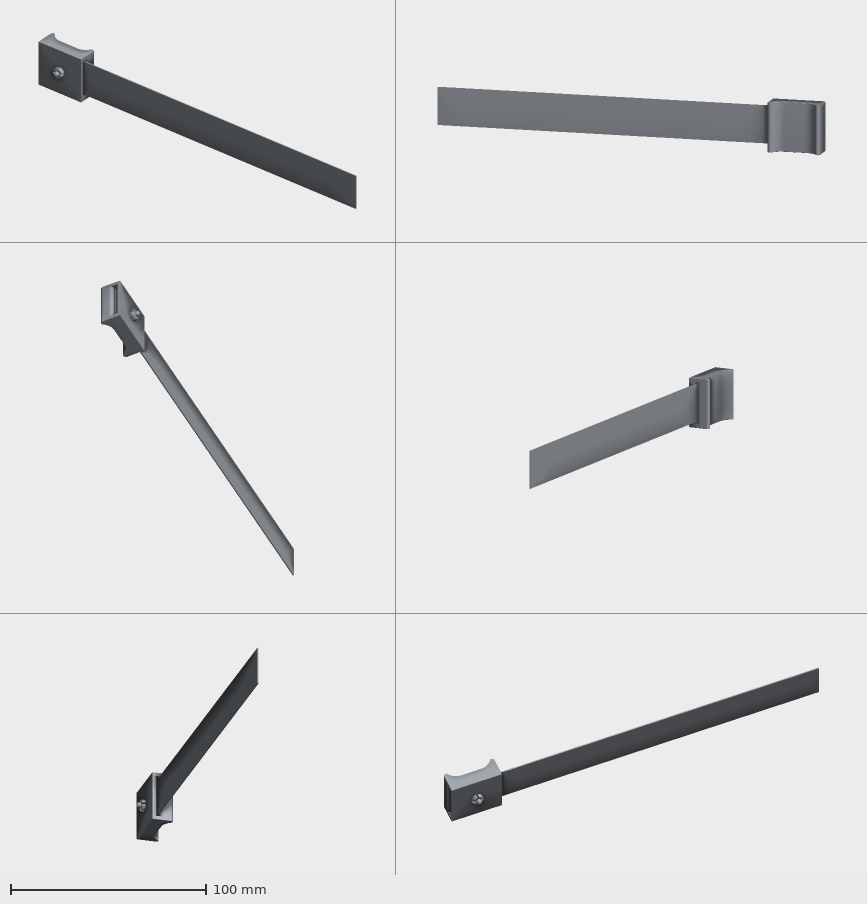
import cadquery as cq
import math

block_length = 27.9
block_height = 26.0
block_depth = 11.3
saddle_floor = 7.4
saddle_flat = 11.5
saddle_radius = 7.0
horn_outer_fillet = 1.2
horn_inner_fillet = 0.6
end_chamfer = 0.1

overall_length = 205.0
strap_height = 19.9
strap_thickness = 0.6
strap_start = 1.6
strap_center_y = 3.5

slot_height = 22.1
throat_width = 1.5
flare_radius = 2.0

screw_protrusion = 4.3
head_radius = 3.0
head_thickness = 2.3
head_chamfer = 0.3
head_slot_width = 0.8
tip_radius = 1.5
tip_start = 2.0
tip_fillet = 1.33
shank_radius = 1.6

center_x = block_length / 2
strap_front = strap_center_y - strap_thickness / 2


def cylinder_y(radius, y_start, y_end):
    """Cylinder along Y on the screw axis."""
    return cq.Workplane(
        cq.Solid.makeCylinder(
            radius, y_end - y_start, cq.Vector(center_x, y_start, 0), cq.Vector(0, 1, 0)
        )
    )


def make_slot():
    """Through slot whose front and back walls flare out in quarter rounds at both ends."""
    throat_front = strap_center_y - throat_width / 2
    throat_back = strap_center_y + throat_width / 2
    mouth_front = throat_front - flare_radius
    mouth_back = throat_back + flare_radius
    bend = flare_radius * (1 - math.sqrt(0.5))
    far_x = block_length
    return (
        cq.Workplane("XY")
        .workplane(offset=-slot_height / 2)
        .moveTo(0, mouth_front)
        .threePointArc((bend, throat_front - bend), (flare_radius, throat_front))
        .lineTo(far_x - flare_radius, throat_front)
        .threePointArc((far_x - bend, throat_front - bend), (far_x, mouth_front))
        .lineTo(far_x, mouth_back)
        .threePointArc((far_x - bend, throat_back + bend), (far_x - flare_radius, throat_back))
        .lineTo(flare_radius, throat_back)
        .threePointArc((bend, throat_back + bend), (0, mouth_back))
        .close()
        .extrude(slot_height)
    )


def make_block():
    """Block with a concave saddle back, rounded horns, the strap slot and the screw hole."""
    flat_half = saddle_flat / 2
    rise = block_depth - saddle_floor
    rim_angle = math.acos(1 - rise / saddle_radius)
    rim_half = flat_half + saddle_radius * math.sin(rim_angle)
    mid_half = flat_half + saddle_radius * math.sin(rim_angle / 2)
    mid_y = saddle_floor + saddle_radius * (1 - math.cos(rim_angle / 2))
    body = (
        cq.Workplane("XY")
        .workplane(offset=-block_height / 2)
        .moveTo(0, 0)
        .lineTo(block_length, 0)
        .lineTo(block_length, block_depth)
        .lineTo(center_x + rim_half, block_depth)
        .threePointArc((center_x + mid_half, mid_y), (center_x + flat_half, saddle_floor))
        .lineTo(center_x - flat_half, saddle_floor)
        .threePointArc((center_x - mid_half, mid_y), (center_x - rim_half, block_depth))
        .lineTo(0, block_depth)
        .close()
        .extrude(block_height)
    )
    for x, radius in (
        (0, horn_outer_fillet),
        (center_x - rim_half, horn_inner_fillet),
        (center_x + rim_half, horn_inner_fillet),
        (block_length, horn_outer_fillet),
    ):
        horn_edge = cq.selectors.NearestToPointSelector((x, block_depth, 0))
        body = body.edges("|Z").edges(horn_edge).fillet(radius)
    body = body.faces("<Z or >Z").edges().chamfer(end_chamfer)
    return body.cut(make_slot()).cut(cylinder_y(shank_radius, 0, strap_front))


def make_strap():
    """Flat strap running out of the block in +X."""
    return cq.Workplane("XY").box(
        overall_length - strap_start, strap_thickness, strap_height, centered=(False, True, True)
    ).translate((strap_start, strap_center_y, 0))


def make_screw():
    """Screw with a cross-slotted head, a domed tip over the slots and a shank on the strap."""
    head = cylinder_y(head_radius, -head_thickness, 0).faces("<Y").edges().chamfer(head_chamfer)
    slot = cq.Workplane("XY").box(
        2 * head_radius, head_thickness, head_slot_width
    ).translate((center_x, -head_thickness / 2, 0))
    crossing_slot = slot.rotate((center_x, 0, 0), (center_x, 1, 0), 90)
    head = head.cut(slot).cut(crossing_slot)
    tip = cylinder_y(tip_radius, -screw_protrusion, -tip_start).faces("<Y").edges().fillet(tip_fillet)
    shank = cylinder_y(shank_radius, 0, strap_front)
    return shank.union(head).union(tip)


block = make_block()
strap = make_strap()
screw = make_screw()

result = cq.Compound.makeCompound([block.val(), strap.val(), screw.val()])